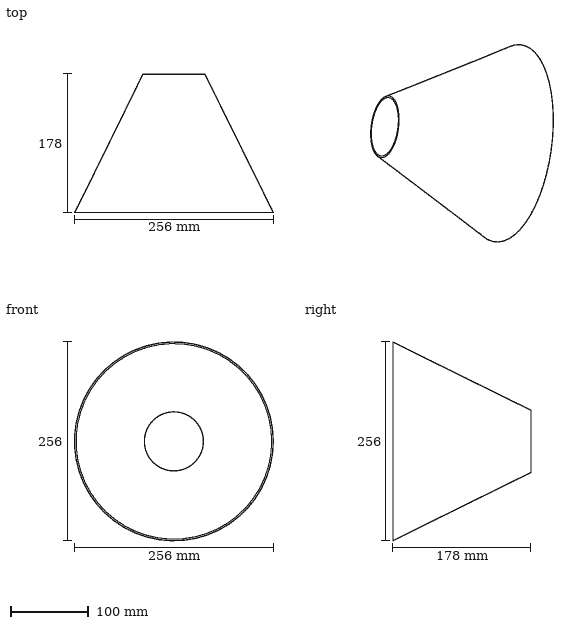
import cadquery as cq
import math

large_diameter = 256.0
small_diameter = 80.0
length = 178.0
wall = 2.0

large_radius = large_diameter / 2
small_radius = small_diameter / 2
half_angle = math.atan((large_radius - small_radius) / length)
radial_wall = wall / math.cos(half_angle)


def hollow_cone():
    """Open conical shell about Y, wide end at Y = 0, narrow end at +Y."""
    wall_section = [
        (large_radius - radial_wall, 0),
        (large_radius, 0),
        (small_radius, length),
        (small_radius - radial_wall, length),
    ]
    profile = cq.Workplane("XY").polyline(wall_section).close()
    return profile.revolve(360, (0, 0), (0, 1))


result = hollow_cone()